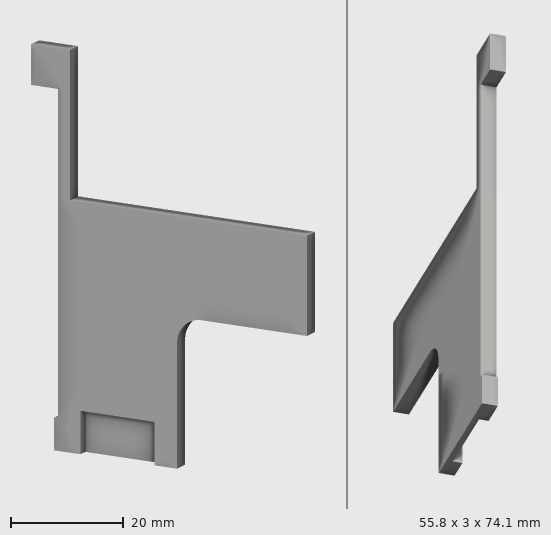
import cadquery as cq

width = 55.75
height = 74.1
thickness = 3.0

spine_left = 5.4
spine_width = 2.45
spine_right = spine_left + spine_width
column_right = 29.5

head_height = 7.5
head_bottom = height - head_height

arm_bottom = 28.0
arm_height = 18.45
arm_top = arm_bottom + arm_height
inner_radius = 5.0

foot_step = 0.75
foot_left = spine_left - foot_step
foot_height = 6.0

pocket_left = 10.0
pocket_width = 15.0
pocket_height = 8.0
pocket_depth = 1.8


def make_plate():
    """Flat bracket, front face at Y = 0 and back face at Y = thickness."""
    outline = [
        (foot_left, 0),
        (column_right, 0),
        (column_right, arm_bottom),
        (width, arm_bottom),
        (width, arm_top),
        (spine_right, arm_top),
        (spine_right, height),
        (0, height),
        (0, head_bottom),
        (spine_left, head_bottom),
        (spine_left, foot_height),
        (foot_left, foot_height),
    ]
    plate = cq.Workplane("XZ").polyline(outline).close().extrude(-thickness)
    inner_corner = cq.selectors.NearestToPointSelector((column_right, thickness / 2, arm_bottom))
    return plate.edges("|Y").edges(inner_corner).fillet(inner_radius)


def make_pocket():
    """Block removed from the front face at the foot."""
    block = cq.Workplane("XY").box(pocket_width, pocket_depth, pocket_height, centered=False)
    return block.translate((pocket_left, 0, 0))


result = make_plate().cut(make_pocket())